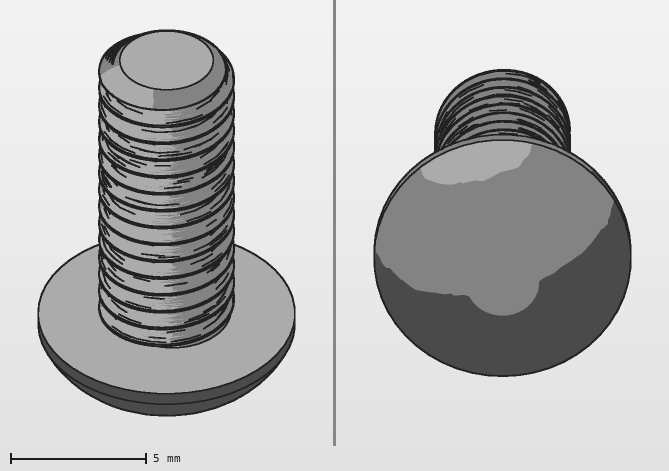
import cadquery as cq
import math

HEAD_DIAMETER = 9.5
HEAD_HEIGHT = 2.74
RIM_HEIGHT = 0.5
CROWN_DIAMETER = 2.72

THREAD_DIAMETER = 5.0
SHANK_LENGTH = 12.0
PITCH = 0.8
FLANK_ANGLE = math.radians(30)
CREST_WIDTH = PITCH / 8
ROOT_WIDTH = PITCH / 8
FIRST_CREST_HEIGHT = 0.565
TIP_DIAMETER = 3.46
TIP_CHAMFER_ANGLE = math.radians(34)
FLANK_SAMPLES = 6

TRIM_MARGIN = 0.5

HEAD_RADIUS = HEAD_DIAMETER / 2
CROWN_RADIUS = CROWN_DIAMETER / 2
CREST_RADIUS = THREAD_DIAMETER / 2
FLANK_SLOPE = math.tan(FLANK_ANGLE)
THREAD_DEPTH = (PITCH - CREST_WIDTH - ROOT_WIDTH) / (2 * FLANK_SLOPE)
ROOT_RADIUS = CREST_RADIUS - THREAD_DEPTH
TIP_RADIUS = TIP_DIAMETER / 2


def make_head():
    """Button head below the seat plane z = 0: a straight rim and a dome tangent to its flat crown."""
    return (
        cq.Workplane("XZ")
        .moveTo(0, -HEAD_HEIGHT)
        .lineTo(CROWN_RADIUS, -HEAD_HEIGHT)
        .tangentArcPoint((HEAD_RADIUS, -RIM_HEIGHT), relative=False)
        .lineTo(HEAD_RADIUS, 0)
        .lineTo(0, 0)
        .close()
        .revolve(360, (0, 0), (0, 1))
    )


def thread_section():
    """Cross-section of the thread at the seat plane: crest arc, root arc and a spiral flank on each side."""
    crest_angle = -2 * math.pi * FIRST_CREST_HEIGHT / PITCH
    half_crest = math.pi * CREST_WIDTH / PITCH
    half_root = math.pi * ROOT_WIDTH / PITCH
    root_angle = crest_angle + math.pi
    flank_span = math.pi - half_crest - half_root

    def polar(radius, angle):
        return (radius * math.cos(angle), radius * math.sin(angle))

    def falling_flank(t):
        return polar(CREST_RADIUS - THREAD_DEPTH * t, crest_angle + half_crest + flank_span * t)

    def rising_flank(t):
        return polar(ROOT_RADIUS + THREAD_DEPTH * t, root_angle + half_root + flank_span * t)

    return (
        cq.Workplane("XY")
        .moveTo(*polar(CREST_RADIUS, crest_angle - half_crest))
        .threePointArc(polar(CREST_RADIUS, crest_angle), polar(CREST_RADIUS, crest_angle + half_crest))
        .parametricCurve(falling_flank, N=FLANK_SAMPLES, makeWire=False)
        .moveTo(*polar(ROOT_RADIUS, root_angle - half_root))
        .threePointArc(polar(ROOT_RADIUS, root_angle), polar(ROOT_RADIUS, root_angle + half_root))
        .parametricCurve(rising_flank, N=FLANK_SAMPLES, makeWire=False)
        .wire()
    )


def make_thread():
    """Right-handed thread: its cross-section advances one pitch per turn."""
    return thread_section().twistExtrude(SHANK_LENGTH, 360 * SHANK_LENGTH / PITCH)


def make_tip_envelope():
    """Body that encloses the shank and thread and ends in the chamfered tip."""
    radius = CREST_RADIUS + TRIM_MARGIN
    bottom = -TRIM_MARGIN
    chamfer_height = (radius - TIP_RADIUS) * math.tan(TIP_CHAMFER_ANGLE)
    return (
        cq.Workplane("XZ")
        .moveTo(0, bottom)
        .lineTo(radius, bottom)
        .lineTo(radius, SHANK_LENGTH - chamfer_height)
        .lineTo(TIP_RADIUS, SHANK_LENGTH)
        .lineTo(0, SHANK_LENGTH)
        .close()
        .revolve(360, (0, 0), (0, 1))
    )


threaded_shank = make_thread().intersect(make_tip_envelope())
result = make_head().union(threaded_shank)